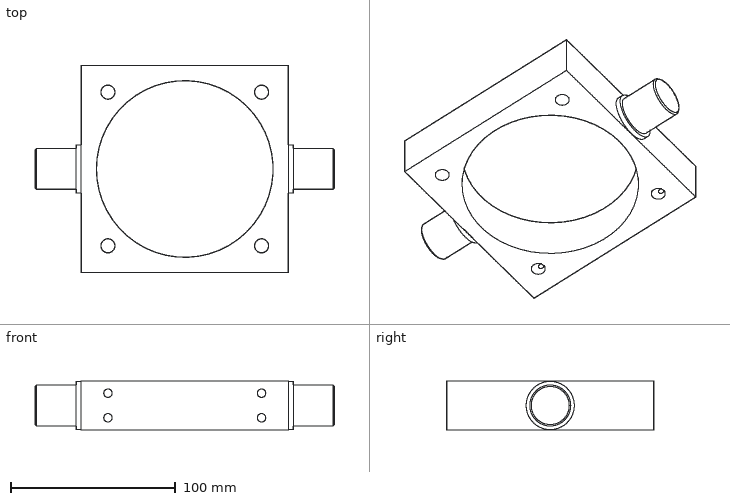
import cadquery as cq

body_side = 126.0
body_height = 30.0
bore_diameter = 107.2

overall_length = 182.0
collar_diameter = 29.3
collar_length = 3.1
pin_diameter = 25.0
pin_chamfer = 1.0

hole_spacing = 93.4
corner_hole_diameter = 8.4
side_hole_diameter = 5.1
side_hole_spacing_z = 15.0
side_hole_depth = (body_side - hole_spacing) / 2


def make_body():
    return (
        cq.Workplane("XY")
        .box(body_side, body_side, body_height)
        .faces(">Z")
        .workplane()
        .hole(bore_diameter)
    )


def make_trunnion():
    """Trunnion on the +X face of the body."""
    pin_length = (overall_length - body_side) / 2 - collar_length
    collar = (
        cq.Workplane("YZ", origin=(body_side / 2, 0, 0))
        .circle(collar_diameter / 2)
        .extrude(collar_length)
    )
    pin = (
        cq.Workplane("YZ", origin=(body_side / 2 + collar_length, 0, 0))
        .circle(pin_diameter / 2)
        .extrude(pin_length)
        .faces(">X")
        .chamfer(pin_chamfer)
    )
    return collar.union(pin)


def make_corner_holes():
    return (
        cq.Workplane("XY", origin=(0, 0, -body_height / 2))
        .rarray(hole_spacing, hole_spacing, 2, 2)
        .circle(corner_hole_diameter / 2)
        .extrude(body_height)
    )


def make_side_holes():
    return (
        cq.Workplane("XZ", origin=(0, -body_side / 2, 0))
        .rarray(hole_spacing, side_hole_spacing_z, 2, 2)
        .circle(side_hole_diameter / 2)
        .extrude(-side_hole_depth)
    )


trunnion = make_trunnion()
result = (
    make_body()
    .union(trunnion)
    .union(trunnion.mirror("YZ"))
    .cut(make_corner_holes())
    .cut(make_side_holes())
)